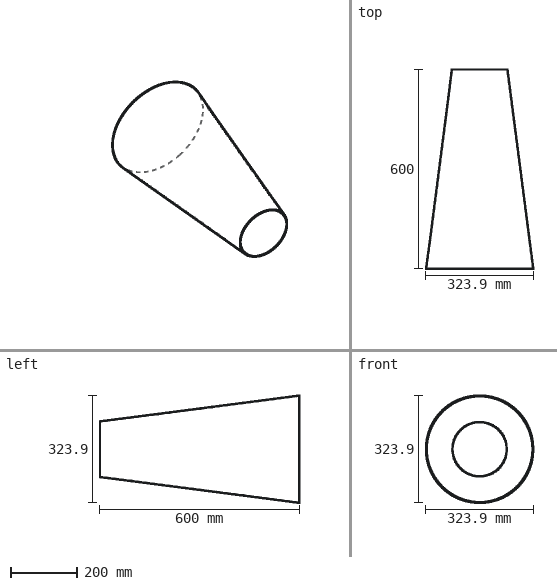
import cadquery as cq

LENGTH = 600.0
LARGE_OUTER_DIAMETER = 323.9
SMALL_OUTER_DIAMETER = 168.3
WALL = 3.0

large_outer_radius = LARGE_OUTER_DIAMETER / 2
small_outer_radius = SMALL_OUTER_DIAMETER / 2


def make_reducer():
    """Revolve the sloping wall section about the Y axis."""
    wall_section = (
        cq.Workplane("XY")
        .moveTo(large_outer_radius - WALL, 0)
        .lineTo(large_outer_radius, 0)
        .lineTo(small_outer_radius, LENGTH)
        .lineTo(small_outer_radius - WALL, LENGTH)
        .close()
    )
    return wall_section.revolve(360, (0, 0, 0), (0, 1, 0))


result = make_reducer()